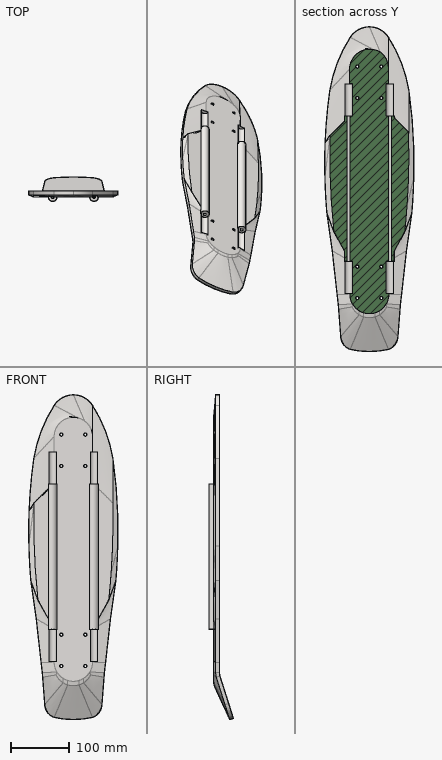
import cadquery as cq
import math


edge_thickness = 6.8
pad_thickness = 10.53
tail_angle = math.radians(17.6)
bend_station = -202.4
bend_half_length = 3.0

pad_radius = 33.0
nose_arc_station = 206.5
tail_arc_station = -181.5
panel_half_width = 68.0
panel_top = 92.0
heel_drop = 7.5
heel_setback = 1.2

tube_offset = 35.56
tube_radius = 7.55
tube_length = 250.0
tube_bore_diameter = 4.55
groove_radius = 6.35
groove_length = 55.0

bolt_diameter = 5.0
bolt_spacing_x = 41.3
bolt_spacing_z = 54.0
nose_truck_station = 182.8
tail_truck_station = -161.2

nose_tip = (0, 278.4)
nose_corner = (pad_radius, 260.2)
shoulder = (68.2, 169.0)
waist_top = (76.6, 18.4)
waist_bottom = (73.4, -40.7)
hip = (64.0, -107.0)
tail_neck = (55.6, -182.5)
bend_start = (53.6, bend_station + bend_half_length)
bend_end = (53.0, bend_station - bend_half_length)
tail_side = (49.4, -255.0)
tail_corner = (pad_radius, -278.2)
tail_tip = (0, -282.07)

nose_bulge = (18.0, 273.9)
shoulder_bulge = (54.6, 218.0)
side_bulge = (75.6, 93.7)
waist_bulge = (75.4, -11.7)
tail_bulge = (44.3, -269.5)

nose_side = (pad_radius, nose_arc_station)
panel_start = (pad_radius, panel_top + panel_half_width - pad_radius)
panel_corner = (panel_half_width, panel_top)
panel_bulge = (67.4, 18.4)
panel_hip = (60.8, -75.3)
panel_end = (pad_radius, -124.5)
tail_side_pad = (pad_radius, tail_arc_station)

nose_tip_angle = 54.0
nose_left_angle = 76.0
tail_bend_angle = -31.0
tail_side_angle = -58.0
tail_corner_angle = -73.0
heel_bend_angle = -26.0

left_rim_split = 0.60
left_panel_split = 0.02
right_panel_split = 0.72


def mirrored(point):
    return (-point[0], point[1])


def on_rim(point, depth):
    """Place a rim point at a depth in front of the back face, following the tail bend."""
    x, station = point
    if station >= bend_station:
        return cq.Vector(x, -depth, station)
    run = bend_station - station
    y = run * math.sin(tail_angle) - depth * math.cos(tail_angle)
    z = bend_station - run * math.cos(tail_angle) - depth * math.sin(tail_angle)
    return cq.Vector(x, y, z)


def rim_edge(points, depth):
    return edge_through([on_rim(point, depth) for point in points])


def on_pad(point):
    return cq.Vector(point[0], -pad_thickness, point[1])


def pad_edge(points):
    return edge_through([on_pad(point) for point in points])


def edge_through(places):
    """A line through two places or an arc through three."""
    if len(places) == 2:
        return cq.Edge.makeLine(*places)
    return cq.Edge.makeThreePointArc(*places)


def round_end(station, start_angle, end_angle):
    """Start, middle and end of a stretch of a round pad end."""
    angles = (start_angle, (start_angle + end_angle) / 2, end_angle)
    radians = [math.radians(angle) for angle in angles]
    return [(pad_radius * math.cos(a), station + pad_radius * math.sin(a)) for a in radians]


def nose_arc(start_angle, end_angle):
    return round_end(nose_arc_station, start_angle, end_angle)


def tail_arc(start_angle, end_angle):
    return round_end(tail_arc_station, start_angle, end_angle)


def heel_edge(points):
    """A stretch of the round tail end, dropped and set back to where the tail slope begins."""
    return pad_edge(points).translate(cq.Vector(0, heel_setback, -heel_drop))


def triangle(*corners):
    return cq.Face.makeFromWires(cq.Wire.makePolygon(list(corners), close=True))


def flat_face(edges):
    return cq.Face.makeFromWires(cq.Wire.assembleEdges(edges))


def split_arc(points, fraction):
    """Split a three-point arc of the flat part of the deck into two three-point arcs."""
    arc = pad_edge(points)
    places = [arc.positionAt(t) for t in (0, fraction / 2, fraction, (1 + fraction) / 2, 1)]
    points = [(place.x, place.z) for place in places]
    return points[:3], points[2:]


side_rim = (shoulder, side_bulge, waist_top)
waist_rim = (waist_top, waist_bulge, waist_bottom)
panel_side = (panel_corner, panel_bulge, panel_hip)
upper_side, lower_side = split_arc(side_rim, left_rim_split)
left_upper_panel, left_lower_panel = split_arc(panel_side, left_panel_split)
right_upper_panel, right_lower_panel = split_arc(panel_side, right_panel_split)
left_panel_meeting = upper_side[-1]

right_front = [
    ((nose_tip, nose_bulge, nose_corner), nose_arc(nose_tip_angle, 0)),
    ((nose_corner, shoulder_bulge, shoulder), (panel_start, panel_corner)),
    (side_rim, right_upper_panel),
    (waist_rim, right_lower_panel),
]
left_front = [
    ((nose_tip, nose_bulge, nose_corner), nose_arc(180 - nose_tip_angle, 180 - nose_left_angle)),
    ((nose_corner, shoulder_bulge, shoulder), nose_arc(180 - nose_left_angle, 0)),
    (upper_side, (nose_side, panel_start)),
    (lower_side, left_upper_panel),
    (waist_rim, left_lower_panel),
]
both_sides = [
    ((waist_bottom, hip), (panel_hip, panel_end)),
    ((hip, tail_neck), (panel_end, tail_side_pad)),
    ((tail_neck, bend_start), tail_arc(0, tail_bend_angle)),
]
tail_corner_arc = tail_arc(tail_side_angle, tail_corner_angle)
tail_middle_arc = tail_arc(tail_corner_angle, -180 - tail_corner_angle)
tail_slopes = [
    (
        (bend_end, tail_side),
        tail_arc(heel_bend_angle, tail_side_angle),
        tail_arc(tail_bend_angle, tail_side_angle),
    ),
    ((tail_side, tail_bulge, tail_corner), tail_corner_arc, tail_corner_arc),
]
tail_end = ((tail_corner, tail_tip, mirrored(tail_corner)), tail_middle_arc, tail_middle_arc)


def mirrored_patches(patches):
    return [[[mirrored(point) for point in stretch] for stretch in patch] for patch in patches]


def make_deck():
    """Deck closed by the back faces, rim walls, sloping patches and the flat pad."""
    ruled = cq.Face.makeRuledSurface
    flat_patches = right_front + mirrored_patches(left_front)
    flat_patches += both_sides + mirrored_patches(both_sides)
    tail_patches = tail_slopes + mirrored_patches(tail_slopes) + [tail_end]
    flat_rims = [patch[0] for patch in flat_patches]
    tail_rims = [patch[0] for patch in tail_patches]
    bends = [(bend_start, bend_end), (mirrored(bend_start), mirrored(bend_end))]

    faces = [ruled(rim_edge(rim, edge_thickness), pad_edge(pad)) for rim, pad in flat_patches]
    for rim, heel, pad in tail_patches:
        faces.append(ruled(rim_edge(rim, edge_thickness), heel_edge(heel)))
        faces.append(ruled(heel_edge(heel), pad_edge(pad)))

    for bend, patches in zip(bends, (tail_slopes, mirrored_patches(tail_slopes))):
        rim, heel, pad = patches[0]
        pad_to_heel = cq.Edge.makeLine(on_pad(pad[0]), heel_edge(heel).startPoint())
        faces.append(ruled(rim_edge(bend, edge_thickness), pad_to_heel))

    right_step = (on_pad(nose_side), on_pad(panel_start), on_rim(nose_corner, edge_thickness))
    left_panel_edge = (on_pad(mirrored(panel_start)), on_pad(mirrored(panel_corner)))
    left_step = (*left_panel_edge, on_rim(mirrored(left_panel_meeting), edge_thickness))
    faces += [triangle(*right_step), triangle(*left_step)]

    rims = flat_rims + tail_rims + bends
    faces += [ruled(rim_edge(rim, 0), rim_edge(rim, edge_thickness)) for rim in rims]

    fold_top = rim_edge((bend_start, mirrored(bend_start)), 0)
    fold_bottom = rim_edge((bend_end, mirrored(bend_end)), 0)
    faces.append(flat_face([rim_edge(rim, 0) for rim in flat_rims] + [fold_top]))
    faces.append(flat_face([rim_edge(rim, 0) for rim in tail_rims] + [fold_bottom]))
    faces.append(ruled(fold_top, fold_bottom))

    pad_edges = [pad_edge(patch[-1]) for patch in flat_patches + tail_patches]
    pad_edges.append(pad_edge((nose_side, panel_start)))
    pad_edges.append(pad_edge((mirrored(panel_start), mirrored(panel_corner))))
    faces.append(flat_face(pad_edges))

    return cq.Workplane(cq.Solid.makeSolid(cq.Shell.makeShell(faces)).fix())


def rod_along_z(x, radius, length):
    """A cylinder lying in the pad face, centred on Z = 0."""
    return cq.Workplane("XY", origin=(x, -pad_thickness, -length / 2)).circle(radius).extrude(length)


def add_tubes(body):
    for x in (-tube_offset, tube_offset):
        body = body.cut(rod_along_z(x, groove_radius, tube_length + 2 * groove_length))
        body = body.union(rod_along_z(x, tube_radius, tube_length))
        body = body.cut(rod_along_z(x, tube_bore_diameter / 2, tube_length))
    return body


def drill_truck_holes(body):
    for station in (nose_truck_station, tail_truck_station):
        holes = (
            cq.Workplane("XZ", origin=(0, 0, station))
            .rarray(bolt_spacing_x, bolt_spacing_z, 2, 2)
            .circle(bolt_diameter / 2)
            .extrude(pad_thickness)
        )
        body = body.cut(holes)
    return body


result = drill_truck_holes(add_tubes(make_deck()))